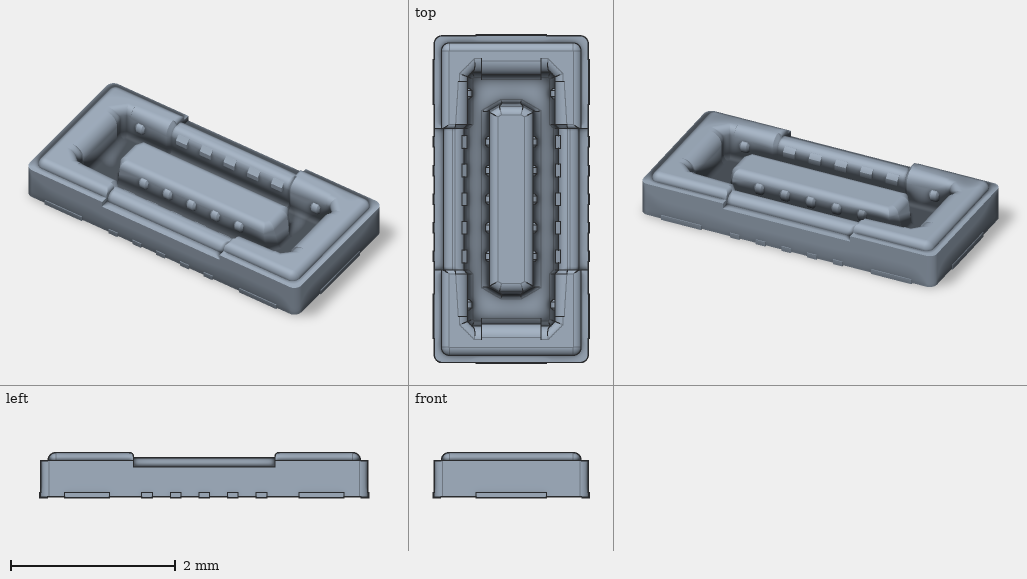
import cadquery as cq
import math

LENGTH = 4.0
WIDTH = 1.9
HEIGHT = 0.55
PAD_OVERHANG = 0.01
PAD_STANDOFF = 0.01
BODY_WIDTH = WIDTH - 2 * PAD_OVERHANG
BODY_LENGTH = LENGTH - 2 * PAD_OVERHANG
BODY_TOP = 0.45
CORNER_RADIUS = 0.1

BLOCK_INSET = 0.09
BLOCK_START = 0.86
BLOCK_ROUND = HEIGHT - BODY_TOP
BLOCK_END_ROUND = 0.05
ROUND_GAP = 0.005

SHELF_TOP = 0.375
RIM_TOP = 0.49
RIM_OUTER = 0.825
RIM_ROUND = 0.11

FLOOR = 0.12
ISLAND_END_DRAFT = 10.0
ISLAND_CORNER_DRAFT = 5.0
MID_FLOOR_HALF = 0.515
MID_FOOT = 0.06
END_FLOOR_HALF = 0.47
END_FOOT = 0.065
STEP_LENGTH = 0.05
CORNER_ROUND = 0.095
SIDE_ROUND_WIDE = 0.145
SIDE_ROUND_NARROW = 0.11
SIDE_TAPER_END = 1.43
END_FLOOR_AT = 1.48
END_ROUND = 0.165
END_BULGE = 0.03
END_BULGE_HALF = 0.36
CORNER_FLOOR_AT = 1.365

ISLAND_TOP = 0.49
ISLAND_ROUND = 0.1
ISLAND_HALF = 0.365
ISLAND_SIDE_FOOT = 0.1
ISLAND_END_AT = 1.21
ISLAND_END_FOOT = 0.045
ISLAND_CORNER_AT = 1.11
ISLAND_CORNER_ANGLE = 60.0

PITCH = 0.35
CONTACT_YS = [i * PITCH for i in range(-2, 3)]
POWER_Y = 1.425
POWER_BUMP_Y = 1.285
PAD_TOP = 0.065
PAD_DEPTH = 0.09
PAD_WIDTH = 0.13
POWER_PAD_WIDTH = 0.545
END_PAD_WIDTH = 0.85

BLADE_WIDTH = 0.155
BLADE_FACE = 0.54
BLADE_BACK = 0.595
BLADE_BOTTOM = 0.33
BLADE_SHOULDER = 0.39
BLADE_TOP = 0.45

BUMP_WIDTH = 0.13
BUMP_HEIGHT = 0.15
BUMP_Z = 0.33
BUMP_PROUD = 0.05
BUMP_BEVEL = 0.03
BUMP_ROOT = 0.04

REACH = 2.8
CLEAR = 0.2


def slab(x0, x1, y0, y1, z0, z1):
    return cq.Workplane("XY").box(x1 - x0, y1 - y0, z1 - z0, centered=False).translate((x0, y0, z0))


def turned(direction, radius, draft, towards):
    """Step along an arc from level to the wall slope; towards=1 turns up, -1 turns back level."""
    d = math.radians(draft)
    half = (math.pi / 2 - d) / 2
    full = (radius * math.cos(d), radius * (1 - math.sin(d)))
    part = (radius * math.sin(half), radius * (1 - math.cos(half)))
    if towards < 0:
        part = (full[0] - part[0], full[1] - part[1])
    return (direction * part[0], part[1]), (direction * full[0], full[1])


def wall_outline(direction, at, foot, top, top_round, draft=0.0, inner=-REACH):
    """XZ outline bounded by a wall: level foot arc, wall, top arc.

    direction is +1 when the wall leans outward going up (cavity), -1 inward (island).
    """
    foot_mid, foot_end = turned(direction, foot, draft, 1)
    top_mid, top_end = turned(direction, top_round, draft, -1)
    rise = top - FLOOR - foot_end[1] - top_end[1]
    x1, z1 = at + foot_end[0], FLOOR + foot_end[1]
    x2, z2 = x1 + direction * rise * math.tan(math.radians(draft)), z1 + rise
    roof = top + CLEAR if direction > 0 else top
    outline = (
        cq.Workplane("XZ")
        .moveTo(inner, FLOOR)
        .lineTo(at, FLOOR)
        .threePointArc((at + foot_mid[0], FLOOR + foot_mid[1]), (x1, z1))
        .lineTo(x2, z2)
        .threePointArc((x2 + top_mid[0], z2 + top_mid[1]), (x2 + top_end[0], top))
    )
    if direction > 0:
        outline = outline.lineTo(x2 + top_end[0], roof)
    return outline.lineTo(inner, roof).close()


def half_space(angle, *wall, **options):
    """Everything on the inner side of a wall whose outward normal is at angle to +X."""
    return (
        wall_outline(*wall, **options)
        .extrude(REACH, both=True)
        .rotate((0, 0, 0), (0, 0, 1), angle)
    )


def mirrored_pair(shape, plane):
    return shape.union(shape.mirror(plane))


def housing():
    half_x, half_y = BODY_WIDTH / 2, BODY_LENGTH / 2
    body = slab(-half_x, half_x, -half_y, half_y, PAD_STANDOFF, BODY_TOP).edges("|Z").fillet(CORNER_RADIUS)
    body = body.cut(slab(-REACH, REACH, -BLOCK_START, BLOCK_START, SHELF_TOP, HEIGHT))

    block_x, block_y = half_x - BLOCK_INSET, half_y - BLOCK_INSET
    block = slab(-block_x, block_x, -block_y, block_y, SHELF_TOP, HEIGHT)
    block = block.edges("|Z").fillet(BLOCK_ROUND).faces(">Z").edges().fillet(BLOCK_ROUND - ROUND_GAP)
    inner_end = slab(-REACH, REACH, BLOCK_START, REACH, 0, HEIGHT)
    block = block.intersect(inner_end.edges("<Y and >Z").fillet(BLOCK_END_ROUND))

    rim = slab(-RIM_OUTER, RIM_OUTER, -BLOCK_START, BLOCK_START, FLOOR, RIM_TOP)
    rim = rim.edges("|Y and >Z").fillet(RIM_ROUND)
    return body.union(mirrored_pair(block, "XZ")).union(rim)


def taper(outline_a, y_a, outline_b, y_b):
    """Straight-sided transition between two XZ outlines placed at different Y."""
    wires = [o.wire().val().translate(cq.Vector(0, y, 0)) for o, y in ((outline_a, y_a), (outline_b, y_b))]
    return cq.Workplane(obj=cq.Solid.makeLoft(wires, True))


def end_side_outline(top_round):
    return wall_outline(1, END_FLOOR_HALF, END_FOOT, HEIGHT, top_round, inner=0)


def end_cavity():
    """Pocket inside the +Y end block, with the step from the wider middle channel."""
    middle_side = wall_outline(1, MID_FLOOR_HALF, MID_FOOT, RIM_TOP, RIM_ROUND, inner=0)
    wide = end_side_outline(SIDE_ROUND_WIDE)
    narrow = end_side_outline(SIDE_ROUND_NARROW)
    last = end_side_outline(CORNER_ROUND)
    step_end = BLOCK_START + STEP_LENGTH
    half = taper(middle_side, BLOCK_START, wide, step_end)
    half = half.union(taper(wide, step_end, narrow, SIDE_TAPER_END))
    half = half.union(taper(last, SIDE_TAPER_END, last, LENGTH / 2))
    pocket = mirrored_pair(half, "YZ")

    flank = half_space(90, 1, END_FLOOR_AT, END_FOOT, HEIGHT, END_ROUND)
    corner = half_space(45, 1, CORNER_FLOOR_AT, END_FOOT, HEIGHT, CORNER_ROUND)
    middle = slab(-END_BULGE_HALF, END_BULGE_HALF, 0, REACH, 0, HEIGHT + CLEAR)
    bulge = middle.cut(flank.translate((0, -END_BULGE, 0)))
    return pocket.intersect(flank).intersect(corner).intersect(corner.mirror("YZ")).cut(bulge)


def cavity():
    right = half_space(0, 1, MID_FLOOR_HALF, MID_FOOT, RIM_TOP, RIM_ROUND)
    channel = right.intersect(right.mirror("YZ"))
    channel = channel.intersect(slab(-REACH, REACH, -BLOCK_START, BLOCK_START, 0, HEIGHT + CLEAR))
    return channel.union(mirrored_pair(end_cavity(), "XZ"))


def island():
    side = half_space(0, -1, ISLAND_HALF, ISLAND_SIDE_FOOT, ISLAND_TOP, ISLAND_ROUND)
    shape = side.intersect(side.mirror("YZ"))
    for angle, at, draft in [
        (90, ISLAND_END_AT, ISLAND_END_DRAFT),
        (ISLAND_CORNER_ANGLE, ISLAND_CORNER_AT, ISLAND_CORNER_DRAFT),
        (180 - ISLAND_CORNER_ANGLE, ISLAND_CORNER_AT, ISLAND_CORNER_DRAFT),
    ]:
        wall = half_space(angle, -1, at, ISLAND_END_FOOT, ISLAND_TOP, ISLAND_ROUND, draft=draft)
        shape = shape.intersect(wall).intersect(wall.mirror("XZ"))
    return shape


def blade(y):
    """Contact on the +X side wall with a sloped lead-in above its upright face."""
    root = BLADE_BACK + MID_FOOT
    return (
        cq.Workplane("XZ", origin=(0, y + BLADE_WIDTH / 2, 0))
        .polyline(
            [
                (BLADE_FACE, BLADE_BOTTOM),
                (BLADE_FACE, BLADE_SHOULDER),
                (BLADE_BACK, BLADE_TOP),
                (root, BLADE_TOP),
                (root, BLADE_BOTTOM),
            ]
        )
        .close()
        .extrude(BLADE_WIDTH)
    )


def bump(wall_x, direction, y):
    """Arched contact nub bulging out of the wall at wall_x, with bevelled ends."""
    low, high = BUMP_Z - BUMP_HEIGHT / 2, BUMP_Z + BUMP_HEIGHT / 2
    root = wall_x - direction * BUMP_ROOT
    nub = (
        cq.Workplane("XZ", origin=(0, y + BUMP_WIDTH / 2, 0))
        .moveTo(root, low)
        .lineTo(wall_x, low)
        .threePointArc((wall_x + direction * BUMP_PROUD, BUMP_Z), (wall_x, high))
        .lineTo(root, high)
        .close()
        .extrude(BUMP_WIDTH)
    )
    return nub.edges("%CIRCLE").chamfer(BUMP_BEVEL)


def contacts():
    parts = [blade(y) for y in CONTACT_YS]
    parts += [bump(ISLAND_HALF - ISLAND_SIDE_FOOT, 1, y) for y in CONTACT_YS]
    parts += [bump(END_FLOOR_HALF + END_FOOT, -1, s * POWER_BUMP_Y) for s in (-1, 1)]
    return parts


def side_pad(y, width):
    x = WIDTH / 2
    return slab(x - PAD_DEPTH, x, y - width / 2, y + width / 2, 0, PAD_TOP)


def pads():
    parts = [side_pad(y, PAD_WIDTH) for y in CONTACT_YS]
    parts += [side_pad(s * POWER_Y, POWER_PAD_WIDTH) for s in (-1, 1)]
    return parts


end_pad = slab(-END_PAD_WIDTH / 2, END_PAD_WIDTH / 2, LENGTH / 2 - PAD_DEPTH, LENGTH / 2, 0, PAD_TOP)

result = housing().cut(cavity()).union(island())
for part in contacts() + pads():
    result = result.union(mirrored_pair(part, "YZ"))
result = result.union(mirrored_pair(end_pad, "XZ"))